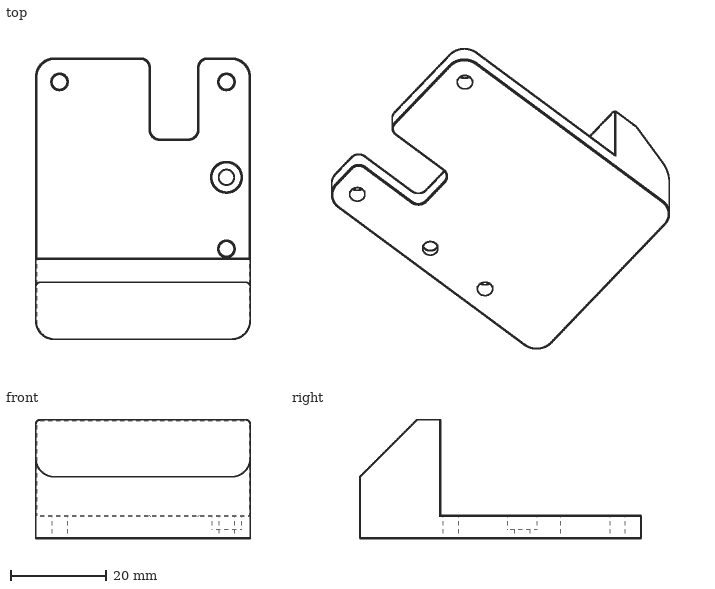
import cadquery as cq

WIDTH = 45.0
LENGTH = 59.0
HEIGHT = 25.0

PLATE_THICKNESS = 5.0
CORNER_RADIUS = 4.0
EDGE_CHAMFER = 0.2

BLOCK_DEPTH = 17.0
BLOCK_TOP_DEPTH = 5.0
SLOPE_RUN = BLOCK_DEPTH - BLOCK_TOP_DEPTH
BLOCK_TOP_RADIUS = 1.0

NOTCH_WIDTH = 10.0
NOTCH_DEPTH = 17.0
NOTCH_LEFT_OFFSET = 24.0
NOTCH_CENTER_X = -WIDTH / 2 + NOTCH_LEFT_OFFSET + NOTCH_WIDTH / 2
NOTCH_RADIUS = 2.0

HOLE_DIAMETER = 3.2
HOLE_INSET = 5.0
HOLE_X = WIDTH / 2 - HOLE_INSET
REAR_HOLE_Y = LENGTH - HOLE_INSET
FRONT_HOLE_SPACING = 35.0
COUNTERBORE_SPACING = 20.0
COUNTERBORED_HOLE = (HOLE_X, REAR_HOLE_Y - COUNTERBORE_SPACING)
HOLES = [
    (-HOLE_X, REAR_HOLE_Y),
    (HOLE_X, REAR_HOLE_Y),
    (HOLE_X, REAR_HOLE_Y - FRONT_HOLE_SPACING),
    COUNTERBORED_HOLE,
]
COUNTERBORE_DIAMETER = 6.2
COUNTERBORE_DEPTH = 3.0


def notch_corners():
    """Box selector around the four vertical corner edges of the notch."""
    margin = 0.1
    half_span = NOTCH_WIDTH / 2 + margin
    return cq.selectors.BoxSelector(
        (NOTCH_CENTER_X - half_span, LENGTH - NOTCH_DEPTH - margin, 0),
        (NOTCH_CENTER_X + half_span, LENGTH + margin, PLATE_THICKNESS),
    )


def make_plate():
    """Rounded plate with a notch in its rear edge and chamfered top and bottom edges."""
    plate = (
        cq.Workplane("XY")
        .rect(WIDTH, LENGTH)
        .extrude(PLATE_THICKNESS)
        .translate((0, LENGTH / 2, 0))
        .edges("|Z")
        .fillet(CORNER_RADIUS)
    )
    notch = (
        cq.Workplane("XY")
        .center(NOTCH_CENTER_X, LENGTH)
        .rect(NOTCH_WIDTH, 2 * NOTCH_DEPTH)
        .extrude(PLATE_THICKNESS)
    )
    plate = plate.cut(notch)
    plate = plate.edges("|Z").edges(notch_corners()).fillet(NOTCH_RADIUS)
    return plate.faces("<Z or >Z").edges().chamfer(EDGE_CHAMFER)


def make_block():
    """Front block, sunk halfway into the plate, with a sloped face and rounded corners."""
    front_height = HEIGHT - SLOPE_RUN
    block_bottom = PLATE_THICKNESS / 2
    block = (
        cq.Workplane("YZ")
        .moveTo(0, block_bottom)
        .lineTo(BLOCK_DEPTH, block_bottom)
        .lineTo(BLOCK_DEPTH, HEIGHT)
        .lineTo(SLOPE_RUN, HEIGHT)
        .lineTo(0, front_height)
        .close()
        .extrude(WIDTH / 2, both=True)
    )
    block = block.edges("|Z and <Y").fillet(CORNER_RADIUS)
    block = block.faces(">Z").edges("|Y").fillet(BLOCK_TOP_RADIUS)

    rear_outline = block.faces(">Y").edges("not <Z")
    return rear_outline.chamfer(EDGE_CHAMFER)


def hole_cutter(positions, diameter, depth):
    """Straight cylinders going down from the plate top, with a chamfered rim at that face."""
    plate_top = cq.Workplane("XY", origin=(0, 0, PLATE_THICKNESS))
    bores = plate_top.pushPoints(positions).circle(diameter / 2).extrude(-depth)
    rim_radius = diameter / 2 + EDGE_CHAMFER
    rims = plate_top.pushPoints(positions).circle(rim_radius).extrude(-EDGE_CHAMFER, taper=45)
    return bores.union(rims)


result = (
    make_plate()
    .union(make_block())
    .cut(hole_cutter(HOLES, HOLE_DIAMETER, PLATE_THICKNESS))
    .cut(hole_cutter([COUNTERBORED_HOLE], COUNTERBORE_DIAMETER, COUNTERBORE_DEPTH))
)